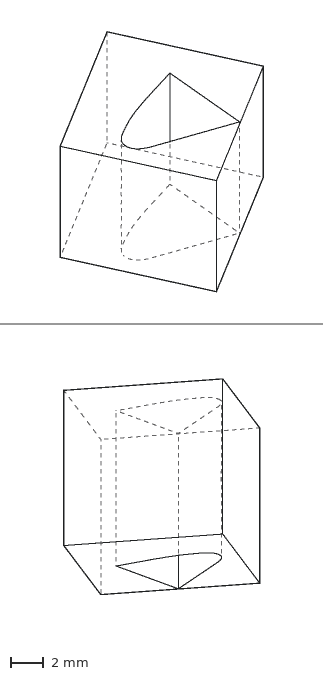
import cadquery as cq

side = 10.0

top_corner = (4.68, 7.79)
right_corner = (9.94, 5.11)
curve_end = (5.4, 1.59)

curve_points = [
    (3.9, 5.3),
    (3.44, 3.3),
    (3.37, 2.4),
    (3.53, 1.42),
    (4.1, 1.1),
    curve_end,
]
start_direction = (-0.29, -0.96)
end_direction = (right_corner[0] - curve_end[0], right_corner[1] - curve_end[1])


def leaf_opening():
    """Prism with two straight edges and one curved edge, as tall as the cube."""
    return (
        cq.Workplane("XY")
        .moveTo(*right_corner)
        .lineTo(*top_corner)
        .spline(curve_points, tangents=[start_direction, end_direction], includeCurrent=True)
        .close()
        .extrude(side)
    )


cube = cq.Workplane("XY").box(side, side, side, centered=False)
result = cube.cut(leaf_opening())